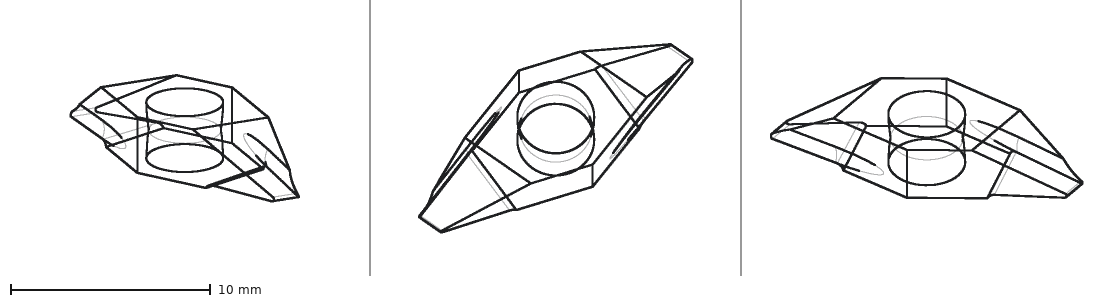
import cadquery as cq
import math

length = 15.0
width = 6.0
thickness = 3.0

flank_angle = 35.0
flank_corner_x = 0.93

top_half_length = 3.6
slope_angle = 35.0

hole_mouth_radius = 1.93
hole_throat_radius = 1.81

groove_radius = 1.0
groove_width = 1.0
rake_angle = 3.0
groove_bend_x = -3.5
groove_bend_z = 0.77
runout_length = 3.0
runout_sweep = 8.0

step_skew = 18.2
step_front_x = -2.98
step_radius = 0.35

clearance = 1.0

half_length = length / 2
half_width = width / 2
groove_centre_offset = math.sqrt(groove_radius**2 - (groove_width / 2) ** 2)
groove_depth = groove_radius - groove_centre_offset
runout_radius = (runout_length**2 + groove_depth**2) / (2 * groove_depth)
rake_slope = math.tan(math.radians(rake_angle))
relief_bend_z = groove_bend_z - groove_width / 2


def relief_z(x):
    """Height of the relief plane under the -X end."""
    return relief_bend_z + (x - groove_bend_x) * rake_slope


def both_ends(cutter):
    """Return the cutter and its copy turned half a turn about Z."""
    return [cutter, cutter.rotate((0, 0, 0), (0, 0, 1), 180)]


def cut_both_ends(body, cutter):
    for tool in both_ends(cutter):
        body = body.cut(tool)
    return body


def blank():
    """Six-sided plate with two slanted sides, overlong until the noses are cut."""
    end_x = half_length + clearance / 2
    end_y = (end_x - flank_corner_x) * math.tan(math.radians(flank_angle)) - half_width
    half_outline = [
        (flank_corner_x, -half_width),
        (end_x, end_y),
        (end_x, half_width),
    ]
    other_half = [(-x, -y) for x, y in half_outline]
    return cq.Workplane("XY").polyline(half_outline + other_half).close().extrude(thickness)


def slope_cutter():
    """Wedge that leaves the sloped top face of the -X end."""
    reach = half_length + clearance
    low_z = thickness - (reach - top_half_length) * math.tan(math.radians(slope_angle))
    profile = [
        (-top_half_length, thickness),
        (-reach, low_z),
        (-reach, thickness),
    ]
    return cq.Workplane("XZ").polyline(profile).close().extrude(half_width, both=True)


def relief_cutter():
    """Raked clearance under the -X end, ending in a rounded skewed step."""
    low_z = -clearance

    def step_x(y):
        return step_front_x - (y + half_width) * math.tan(math.radians(step_skew))

    near_y = -half_width - clearance
    far_y = half_width
    outer_x = -half_length - clearance
    inner_x = step_x(near_y) + clearance
    profile = [
        (outer_x, low_z),
        (outer_x, relief_z(outer_x)),
        (inner_x, relief_z(inner_x)),
        (inner_x, low_z),
    ]
    plan = [
        (outer_x, near_y),
        (step_x(near_y), near_y),
        (step_x(far_y), far_y),
        (outer_x, far_y),
    ]
    raked_wedge = cq.Workplane("XZ").polyline(profile).close().extrude(width, both=True)
    skewed_block = (
        cq.Workplane("XY").workplane(offset=low_z).polyline(plan).close().extrude(thickness)
    )
    return raked_wedge.intersect(skewed_block).faces(">Z").edges(">X").fillet(step_radius)


def nose_cutter():
    """Trim the -X knife edge to a full round, tangent to slope and relief."""
    slope = math.radians(slope_angle)
    rake = math.radians(rake_angle)
    bisector = (slope + rake) / 2
    half_wedge = (slope - rake) / 2
    edge_x = (
        relief_bend_z - groove_bend_x * rake_slope - thickness - top_half_length * math.tan(slope)
    ) / (math.tan(slope) - rake_slope)
    edge_z = relief_z(edge_x)
    edge_to_centre = (-half_length - edge_x) / (math.cos(bisector) - math.sin(half_wedge))
    edge_to_tangent = edge_to_centre * math.cos(half_wedge)

    def tangent_point(angle):
        return (edge_x + edge_to_tangent * math.cos(angle), edge_z + edge_to_tangent * math.sin(angle))

    front_distance = edge_to_centre * (1 - math.sin(half_wedge))
    round_front = (
        edge_x + front_distance * math.cos(bisector),
        edge_z + front_distance * math.sin(bisector),
    )
    outer_x = -half_length - clearance
    profile = (
        cq.Workplane("XZ")
        .moveTo(*tangent_point(slope))
        .threePointArc(round_front, tangent_point(rake))
        .lineTo(outer_x, -clearance)
        .lineTo(outer_x, clearance)
        .close()
    )
    return profile.extrude(width, both=True)


def groove_cutter():
    """Raked cylinder along the -Y side of the -X end plus its run-out bend."""
    rake = math.radians(rake_angle)
    section = cq.Plane(
        origin=(groove_bend_x, -half_width - groove_centre_offset, groove_bend_z),
        xDir=(0, 1, 0),
        normal=(-math.cos(rake), 0, -math.sin(rake)),
    )
    bend_centre_offset = groove_radius - runout_radius
    straight = cq.Workplane(section).circle(groove_radius).extrude(length / 2)
    runout = cq.Workplane(section).circle(groove_radius).revolve(
        runout_sweep, (bend_centre_offset, 0), (bend_centre_offset, 1)
    )
    return straight.union(runout)


def hole_cutter():
    """Through hole whose wall bows in to the throat at mid thickness."""
    flare = hole_mouth_radius - hole_throat_radius
    waist_radius = ((thickness / 2) ** 2 + flare**2) / (2 * flare)
    profile = (
        cq.Workplane("XZ")
        .lineTo(hole_mouth_radius, 0)
        .radiusArc((hole_throat_radius, thickness / 2), -waist_radius)
        .radiusArc((hole_mouth_radius, thickness), -waist_radius)
        .lineTo(0, thickness)
        .close()
    )
    return profile.revolve(360, (0, 0), (0, 1))


result = blank()
result = cut_both_ends(result, slope_cutter())
result = cut_both_ends(result, relief_cutter())
result = cut_both_ends(result, nose_cutter())
result = cut_both_ends(result, groove_cutter())
result = result.cut(hole_cutter())